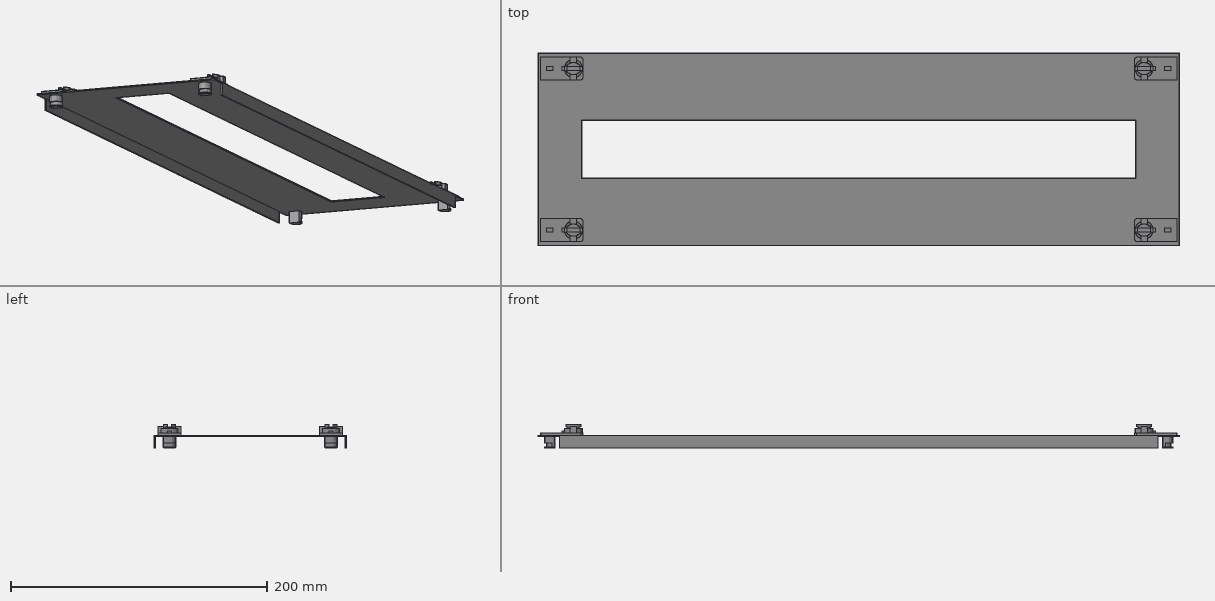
import cadquery as cq

panel_length = 500.0
panel_width = 150.0
sheet = 1.0
panel_top = 10.0
panel_bottom = panel_top - sheet
flange_length = 467.0
window_length = 432.0
window_width = 45.0

latch_y = 63.0
latch_width = 18.0
plate_thickness = 2.0
plate_outer_x = panel_length / 2 - 2.0
plate_inner_x = panel_length / 2 - 35.0
plate_corner = 1.5
plate_top = panel_top + plate_thickness

foot_radius = 5.0
foot_x = 240.0
foot_outer_x = foot_x + foot_radius
foot_inner_x = 237.0
foot_chamfer = 1.0
notch_depth = 1.5
notch_bottom = 1.0
notch_top = 4.0

socket_x = 241.0
socket_length = 5.0
socket_width = 3.0
socket_depth = 3.0

overall_height = 18.5
knob_x = 222.5
disc_radius = 7.0
disc_top = 15.5
pointer_reach = 9.0
pointer_width = 3.0
pointer_height = 1.5
ear_length = 5.0
ear_top = 17.0
grip_length = 13.0
grip_width = 9.5
grip_foot_length = 7.0
grip_rim = 1.0
grip_slot_width = 3.0
grip_slot_depth = 2.0

corners = [(x_side, y_side) for x_side in (-1, 1) for y_side in (-1, 1)]


def make_box(x_min, x_max, width, z_min, z_max, y=0.0):
    """Box between two x and two z limits, centred on y."""
    return (
        cq.Workplane("XY", origin=((x_min + x_max) / 2, y, z_min))
        .rect(x_max - x_min, width)
        .extrude(z_max - z_min)
    )


def make_centred_box(x, length, width, z_min, z_max, y=0.0):
    """Box of a given length, centred on x and y."""
    return make_box(x - length / 2, x + length / 2, width, z_min, z_max, y)


def make_cylinder(x, radius, z_min, z_max):
    return cq.Workplane("XY", origin=(x, 0, z_min)).circle(radius).extrude(z_max - z_min)


def place(body, x_side, y_side):
    """Move a body modelled at the +X end, on y = 0, to one of the four corners."""
    if x_side < 0:
        body = body.mirror("YZ")
    return body.translate((0, y_side * latch_y, 0))


def make_foot_blank():
    """Foot without its notch and chamfer, which is also the shape of its hole in the panel."""
    round_peg = make_cylinder(foot_x, foot_radius, 0, panel_top)
    return round_peg.intersect(
        make_box(foot_inner_x, foot_outer_x, 2 * foot_radius, 0, panel_top)
    )


def make_panel():
    panel = make_centred_box(0, panel_length, panel_width, panel_bottom, panel_top)
    for side in (-1, 1):
        flange_y = side * (panel_width - sheet) / 2
        panel = panel.union(make_centred_box(0, flange_length, sheet, 0, panel_top, flange_y))
    panel = panel.cut(
        make_centred_box(0, window_length, window_width, panel_bottom, panel_top)
    )
    for corner in corners:
        panel = panel.cut(place(make_foot_blank(), *corner))
    return panel


def make_foot():
    width_limits = make_box(foot_inner_x, foot_outer_x, 2 * foot_radius, 0, panel_top)
    foot = make_foot_blank().intersect(width_limits.edges("|X and <Z").chamfer(foot_chamfer))
    notch = make_cylinder(foot_x, foot_radius, notch_bottom, notch_top).cut(
        make_cylinder(foot_x - notch_depth, foot_radius, notch_bottom, notch_top)
    )
    return foot.cut(notch)


def make_latch():
    plate = make_box(plate_inner_x, plate_outer_x, latch_width, panel_top, plate_top)
    plate = plate.edges("|Z and <X").chamfer(plate_corner)
    socket = make_centred_box(
        socket_x, socket_length, socket_width, plate_top - socket_depth, plate_top
    )
    return plate.union(make_foot()).cut(socket)


def make_grip():
    """Lens-shaped grip, narrowed in length toward the disc and slotted along its top."""
    half_length = grip_length / 2
    half_width = grip_width / 2
    half_foot = grip_foot_length / 2
    rim_bottom = overall_height - grip_rim
    lens = (
        cq.Workplane("XY", origin=(knob_x, 0, disc_top))
        .moveTo(-half_length, 0)
        .threePointArc((0, half_width), (half_length, 0))
        .threePointArc((0, -half_width), (-half_length, 0))
        .close()
        .extrude(overall_height - disc_top)
    )
    side_profile = (
        cq.Workplane("XZ", origin=(knob_x, 0, 0))
        .polyline(
            [
                (-half_foot, disc_top),
                (half_foot, disc_top),
                (half_length, rim_bottom),
                (half_length, overall_height),
                (-half_length, overall_height),
                (-half_length, rim_bottom),
            ]
        )
        .close()
        .extrude(half_width, both=True)
    )
    slot_bottom = overall_height - grip_slot_depth
    slot = make_centred_box(knob_x, grip_length, grip_slot_width, slot_bottom, overall_height)
    return lens.intersect(side_profile).cut(slot)


def make_knob():
    disc = make_cylinder(knob_x, disc_radius, plate_top, disc_top)
    pointer = make_box(
        knob_x, knob_x + pointer_reach, pointer_width, plate_top, plate_top + pointer_height
    )
    ears = make_centred_box(knob_x, ear_length, latch_width, plate_top, ear_top)
    grip_space = make_centred_box(knob_x, ear_length, grip_width, disc_top, ear_top)
    return disc.union(pointer).union(ears.cut(grip_space)).union(make_grip())


panel = make_panel()
latches = [place(make_latch(), *corner) for corner in corners]
knobs = [place(make_knob(), *corner) for corner in corners]

result = cq.Compound.makeCompound([body.val() for body in [panel, *latches, *knobs]])